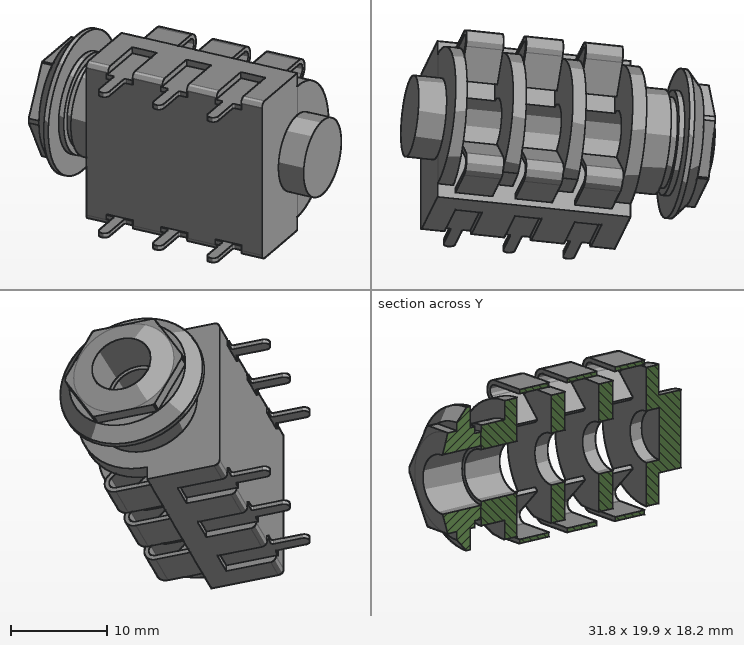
import cadquery as cq
import math

hex_front = 0.7
hex_back = 1.9
flange_edge_front = 3.2
flange_back = 3.75
collar_back = 4.35
neck_front = 5.18
block_front = 8.25
block_back = 28.83
overall_length = 31.8

bushing_bore_radius = 3.2
collar_radius = 5.5
hex_corner_radius = 6.4
hex_side_apothem = 5.65
flange_radius = 7.82
spigot_radius = 4.77

neck_radius = collar_radius
block_height = 18.2
block_depth = 7.95
block_edge_radius = 0.6
jack_bore_radius = 2.8
boss_radius = 4.25

rib_radius = 7.57
end_rib_base = 1.7
front_rib_tip = 1.5
back_rib_tip = 1.2
middle_rib_base = 1.9
middle_rib_tip = 1.4
middle_rib_flat_depth = 2.95

contact_pitch = 6.35
contact_first = 12.25
contact_stations = [contact_first + i * contact_pitch for i in range(3)]
rib_stations = [x + contact_pitch / 2 for x in contact_stations[:-1]]
strip_thickness = 0.5
strip_top = 8.4
loop_width = 3.95
loop_radius = 1.27
loop_reach = 5.37
loop_sweep = math.radians(135)
spring_leg_length = 3.8
slot_width = 2.85
slot_start = 2.48
shoulder_width = 3.05
shoulder_end = 8.15
pin_width = 1.2
pin_end = 12.1
pin_root_radius = 0.2


def x_cylinder(radius, start, end):
    """Round bar on the jack axis between two X stations."""
    return cq.Workplane("YZ", origin=(start, 0, 0)).circle(radius).extrude(end - start)


def make_hex_head():
    """Hexagon with its top and bottom flats cut closer and its corners turned round."""
    length = hex_back - hex_front
    across_corners = 2 * hex_side_apothem / math.cos(math.pi / 6)
    hexagon = cq.Workplane("YZ", origin=(hex_front, 0, 0)).polygon(6, across_corners).extrude(length)
    flats = cq.Workplane("YZ", origin=(hex_front, 0, 0)).rect(
        2 * across_corners, 2 * collar_radius).extrude(length)
    return hexagon.intersect(flats).intersect(x_cylinder(hex_corner_radius, hex_front, hex_back))


def make_bushing():
    """Turned profile revolved about X, plus the hex head, bored through."""
    profile = [
        (0, 0),
        (0, bushing_bore_radius),
        (hex_front, collar_radius),
        (hex_back, collar_radius),
        (hex_back, hex_corner_radius),
        (flange_edge_front, flange_radius),
        (flange_back, flange_radius),
        (flange_back, collar_radius),
        (collar_back, collar_radius),
        (collar_back, spigot_radius),
        (neck_front, spigot_radius),
        (neck_front, 0),
    ]
    turned = cq.Workplane("XY").polyline(profile).close().revolve(360, (0, 0, 0), (1, 0, 0))
    bore = x_cylinder(bushing_bore_radius, 0, neck_front)
    return turned.union(make_hex_head()).cut(bore)


def make_block():
    """Block on the pin side of the jack axis, its long outer edges rounded."""
    block = cq.Workplane("XY").box(
        block_back - block_front, block_depth, block_height, centered=False
    ).translate((block_front, -block_depth, -block_height / 2))
    return block.edges("|X and <Y").fillet(block_edge_radius)


def make_rib(base, tip, half_height):
    """Half-disc rib; base and tip are (start, end) X pairs, sides cut at half_height."""
    wedge = cq.Workplane("XY").workplane(offset=-half_height).polyline([
        (base[0], 0), (base[1], 0), (tip[1], rib_radius), (tip[0], rib_radius),
    ]).close().extrude(2 * half_height)
    return wedge.intersect(x_cylinder(rib_radius, block_front, block_back))


def make_ribs():
    """Front and back end ribs, and the double-tapered middle ribs."""
    back_draft = (end_rib_base - back_rib_tip) / 2
    ribs = [
        make_rib((block_front, block_front + end_rib_base),
                 (block_front, block_front + front_rib_tip), rib_radius),
        make_rib((block_back - end_rib_base, block_back),
                 (block_back - back_draft - back_rib_tip, block_back - back_draft), rib_radius),
    ]
    flat_height = math.sqrt(rib_radius ** 2 - middle_rib_flat_depth ** 2)
    for x in rib_stations:
        ribs.append(make_rib((x - middle_rib_base / 2, x + middle_rib_base / 2),
                             (x - middle_rib_tip / 2, x + middle_rib_tip / 2), flat_height))
    return ribs


def make_loop(x):
    """Spring contact: straight leg from the block, round bend, slanted leg with a free end."""
    bend_y = loop_reach - loop_radius
    bend_z = strip_top - loop_radius
    inner_radius = loop_radius - strip_thickness

    def on_bend(radius, angle):
        """Point on the bend; the angle is counted from its top towards +Y and down."""
        return bend_y + radius * math.sin(angle), bend_z + radius * math.cos(angle)

    def leg_end(radius):
        """Free end of the slanted leg, on the line tangent to the bend at the given radius."""
        y, z = on_bend(radius, loop_sweep)
        return (y + spring_leg_length * math.cos(loop_sweep),
                z - spring_leg_length * math.sin(loop_sweep))

    return (
        cq.Workplane("YZ", origin=(x - loop_width / 2, 0, 0))
        .moveTo(0, strip_top)
        .lineTo(bend_y, strip_top)
        .threePointArc(on_bend(loop_radius, loop_sweep / 2), on_bend(loop_radius, loop_sweep))
        .lineTo(*leg_end(loop_radius))
        .lineTo(*leg_end(inner_radius))
        .lineTo(*on_bend(inner_radius, loop_sweep))
        .threePointArc(on_bend(inner_radius, loop_sweep / 2), on_bend(inner_radius, 0))
        .lineTo(0, strip_top - strip_thickness)
        .close()
        .extrude(loop_width)
    )


def make_slot(x):
    """Recess in the block that uncovers the outer face of a contact strip."""
    depth = block_height / 2 - strip_top
    return cq.Workplane("XY").box(slot_width, block_depth - slot_start, depth, centered=False).translate(
        (x - slot_width / 2, -block_depth, strip_top))


def make_pin(x):
    """Solder pin: wide shoulder inside the block, narrow round-ended tail outside."""
    base = cq.Workplane("XY", origin=(x, 0, strip_top - strip_thickness))
    shoulder = base.center(0, -(slot_start + shoulder_end) / 2).rect(
        shoulder_width, shoulder_end - slot_start).extrude(strip_thickness)
    half_width = pin_width / 2
    tip_start = pin_end - half_width
    tail = (
        base.moveTo(-half_width, -slot_start)
        .lineTo(-half_width, -tip_start)
        .threePointArc((0, -pin_end), (half_width, -tip_start))
        .lineTo(half_width, -slot_start)
        .close()
        .extrude(strip_thickness)
    )
    root_corners = cq.selectors.BoxSelector(
        (x - pin_width, -shoulder_end - pin_root_radius, 0),
        (x + pin_width, -shoulder_end + pin_root_radius, block_height))
    return shoulder.union(tail).edges("|Z").edges(root_corners).fillet(pin_root_radius)


def make_housing():
    """Block, ribs, neck, rear boss and contacts, with the blind jack bore."""
    housing = make_block()
    for rib in make_ribs():
        housing = housing.union(rib)
    housing = housing.union(x_cylinder(neck_radius, neck_front, block_front))
    housing = housing.union(x_cylinder(boss_radius, block_back, overall_length))
    housing = housing.cut(x_cylinder(jack_bore_radius, neck_front, block_back))
    for x in contact_stations:
        slot = make_slot(x)
        contact = make_loop(x).union(make_pin(x))
        housing = housing.cut(slot).cut(slot.mirror("XY"))
        housing = housing.union(contact).union(contact.mirror("XY"))
    return housing


bushing = make_bushing()
housing = make_housing()

result = cq.Compound.makeCompound([bushing.val(), housing.val()])